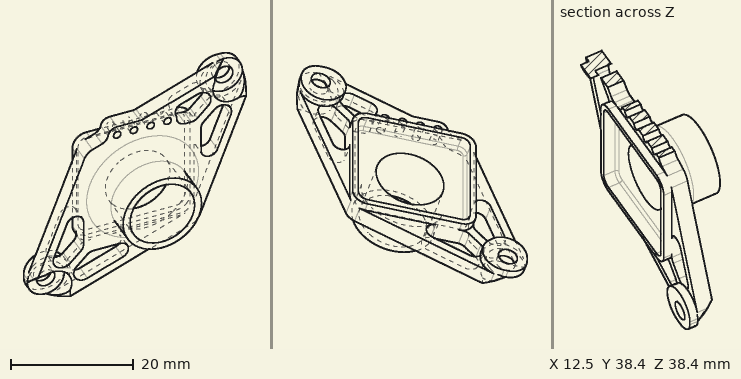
import cadquery as cq
import math

total_length = 12.5
outer_span = 38.39
frame_front = 0.0
plate_front = 1.5
plate_back = 4.5

frame_size = 21.0
frame_corner_radius = 2.5
rim_width = 1.0
pocket_depth = 2.5
pocket_floor_fillet = 0.5

tube_diameter = 14.0
bore_diameter = 11.53
tube_root_radius = 3.0

lug_hole_diameter = 3.2
screw_recess_diameter = 6.6
lug_flat_length = 0.7
lug_side_radius = 3.6

arm_width = 1.5
rib_width = 1.6
window_corner_radius = 1.5
window_lug_radius = 1.8

tab_hole_diameter = 1.3
tab_hole_pitch = 3.0
tab_hole_count = 4
tab_hole_height = 12.0
tab_end_radius = 1.65
tab_root_radius = 1.65

corner_reach = 0.5
cut_overshoot = 1.0

plate_thickness = plate_back - plate_front
frame_half = frame_size / 2
frame_arc_center = frame_half - frame_corner_radius
lug_edge = outer_span / 2
lug_end_radius = screw_recess_diameter / 2
lug_hole_place = lug_edge - lug_end_radius
lug_arc_y = lug_hole_place - lug_flat_length
lug_arc_z = lug_edge - lug_side_radius
tab_end_y = -tab_hole_pitch * (tab_hole_count - 1) / 2
tab_top = tab_hole_height + tab_end_radius

edge_run = lug_arc_y + frame_arc_center
edge_rise = lug_arc_z - frame_arc_center
edge_angle = math.atan2(edge_rise, edge_run) + math.asin(
    (lug_side_radius - frame_corner_radius) / math.hypot(edge_run, edge_rise)
)
edge_slope = math.tan(edge_angle)


def plane_at(x):
    return cq.Workplane("YZ", origin=(x, 0, 0))


def disc(y, z, diameter, x_start, x_end):
    return plane_at(x_start).center(y, z).circle(diameter / 2).extrude(x_end - x_start)


def rounded_square(size, corner_radius, x_start, x_end):
    block = plane_at(x_start).rect(size, size).extrude(x_end - x_start)
    return block.edges("|X").fillet(corner_radius)


def opposite(body):
    """Half turn about the tube axis."""
    return body.rotate((0, 0, 0), (1, 0, 0), 180)


def across_diagonal(body):
    """Mirror image across the plane Y = Z through both lugs."""
    return body.mirror(cq.Vector(0, 1, -1), (0, 0, 0))


def point_on_arc(y, z, radius, angle):
    return (y + radius * math.cos(angle), z + radius * math.sin(angle))


def swapped(point):
    """A (y, z) point mirrored across the lug diagonal."""
    return (point[1], point[0])


def edge_height(y, inset=0.0):
    """Z of the upper plate edge at y, moved into the plate by inset."""
    touch_y, touch_z = point_on_arc(lug_arc_y, lug_arc_z, lug_side_radius, edge_angle + math.pi / 2)
    return touch_z + (y - touch_y) * edge_slope - inset / math.cos(edge_angle)


def arm_plate():
    """Straight-sided plate that joins the frame corners to both lugs."""
    normal_angle = edge_angle + math.pi / 2
    at_lug = point_on_arc(lug_arc_y, lug_arc_z, lug_side_radius, normal_angle)
    at_frame = point_on_arc(-frame_arc_center, frame_arc_center, frame_corner_radius, normal_angle)
    half_outline = [swapped(at_frame), swapped(at_lug), at_lug, at_frame]
    other_half = [(-y, -z) for y, z in half_outline]
    return plane_at(plate_front).polyline(half_outline + other_half).close().extrude(plate_thickness)


def tab_block(end_y, far_y):
    """Flat-topped block from far_y to end_y, rounded about the hole at end_y."""
    tab_height = tab_top - frame_arc_center
    block = (
        plane_at(plate_front)
        .center((end_y + far_y) / 2, frame_arc_center + tab_height / 2)
        .rect(abs(end_y - far_y), tab_height)
        .extrude(plate_thickness)
    )
    return block.union(disc(end_y, tab_hole_height, 2 * tab_end_radius, plate_front, plate_back))


def fillet_x_edge(body, y, z, radius):
    """Round the edge along X that lies close to (y, z)."""
    box = cq.selectors.BoxSelector(
        (plate_front, y - corner_reach, z - corner_reach),
        (plate_back, y + corner_reach, z + corner_reach),
    )
    return body.edges("|X").edges(box).fillet(radius)


def plate():
    """Arms and tab, with both inner corners beside the tab rounded."""
    body = arm_plate().union(tab_block(tab_end_y, 0))
    top_corner_y = (tab_top - edge_height(0)) / edge_slope
    body = fillet_x_edge(body, top_corner_y, tab_top, tab_root_radius)

    end_corner_y = tab_end_y - tab_end_radius
    return fillet_x_edge(body, end_corner_y, edge_height(end_corner_y), tab_root_radius)


def lug():
    """Lug with an end about the hole, two short flats, two side arcs and a straight inner side."""
    end_mid = point_on_arc(lug_hole_place, lug_hole_place, lug_end_radius, math.radians(45))
    side_mid = point_on_arc(lug_arc_y, lug_arc_z, lug_side_radius, math.radians(157.5))
    side_end = point_on_arc(lug_arc_y, lug_arc_z, lug_side_radius, math.radians(225))
    return (
        plane_at(frame_front)
        .moveTo(lug_edge, lug_hole_place)
        .threePointArc(end_mid, (lug_hole_place, lug_edge))
        .lineTo(lug_arc_y, lug_edge)
        .threePointArc(side_mid, side_end)
        .lineTo(*swapped(side_end))
        .threePointArc(swapped(side_mid), (lug_edge, lug_arc_y))
        .close()
        .extrude(plate_back - frame_front)
    )


def side_opening():
    """Opening from the screw recess through the +Y side, with a 45 degree end face."""
    past_edge = lug_edge + cut_overshoot
    return (
        cq.Workplane("XY", origin=(0, 0, lug_hole_place))
        .moveTo(plate_front, lug_hole_place)
        .lineTo(plate_back, lug_hole_place - plate_thickness)
        .lineTo(plate_back, past_edge)
        .lineTo(plate_front, past_edge)
        .close()
        .extrude(past_edge - lug_hole_place)
    )


def lug_cut():
    """Screw hole with a round recess from the back that is open on both outer sides."""
    place = (lug_hole_place, lug_hole_place)
    hole = disc(*place, lug_hole_diameter, frame_front, plate_back)
    recess = disc(*place, screw_recess_diameter, plate_front, plate_back)
    opening = side_opening()
    return hole.union(recess).union(opening).union(across_diagonal(opening))


def window_blank():
    """Triangle between the upper arm, the rib and the frame, rounded at the lug."""
    rib_offset = rib_width / math.sqrt(2)
    arm_start = edge_height(0, arm_width)
    lug_tip_y = (arm_start - rib_offset) / (1 - edge_slope)
    corners = [
        (frame_half - rib_offset, frame_half),
        (lug_tip_y, lug_tip_y + rib_offset),
        ((frame_half - arm_start) / edge_slope, frame_half),
    ]
    blank = plane_at(plate_front).polyline(corners).close().extrude(plate_thickness)
    return blank.edges("|X").edges(">Z").fillet(window_lug_radius)


def round_corners(prism):
    """Shrink and regrow the outline, which rounds its sharp outer corners."""
    outline = prism.faces("<X").wires().val()
    shrunk = outline.offset2D(-window_corner_radius)[0]
    rounded = shrunk.offset2D(window_corner_radius)[0]
    return cq.Workplane(cq.Solid.extrudeLinear(rounded, [], cq.Vector(plate_thickness, 0, 0)))


def windows():
    """Four windows; the one next to the tab stops short at the last tab hole."""
    blank = window_blank()
    full = round_corners(blank)
    short = round_corners(blank.cut(tab_block(-tab_end_y, -frame_size)))
    beside = across_diagonal(full)
    return short.union(beside).union(opposite(full)).union(opposite(beside))


def tube():
    """Tube with a flared root; its profile is turned about the X axis."""
    radius = tube_diameter / 2
    root_mid = point_on_arc(
        plate_back + tube_root_radius, radius + tube_root_radius, tube_root_radius, math.radians(225)
    )
    return (
        cq.Workplane("XY")
        .moveTo(plate_front, 0)
        .lineTo(plate_front, radius)
        .lineTo(plate_back, radius + tube_root_radius)
        .threePointArc(root_mid, (plate_back + tube_root_radius, radius))
        .lineTo(total_length, radius)
        .lineTo(total_length, 0)
        .close()
        .revolve(360, (0, 0, 0), (1, 0, 0))
    )


def pocket():
    corner_radius = frame_corner_radius - rim_width
    space = rounded_square(frame_size - 2 * rim_width, corner_radius, frame_front, pocket_depth)
    return space.faces(">X").edges().fillet(pocket_floor_fillet)


def tab_holes():
    places = [(tab_end_y + i * tab_hole_pitch, tab_hole_height) for i in range(tab_hole_count)]
    return plane_at(plate_front).pushPoints(places).circle(tab_hole_diameter / 2).extrude(plate_thickness)


flange = plate().union(rounded_square(frame_size, frame_corner_radius, frame_front, plate_back))
flange = flange.union(lug()).union(opposite(lug()))
flange = flange.cut(windows()).cut(lug_cut()).cut(opposite(lug_cut()))

body = flange.union(tube())
body = body.cut(pocket())
body = body.cut(disc(0, 0, bore_diameter, frame_front, total_length))
result = body.cut(tab_holes())